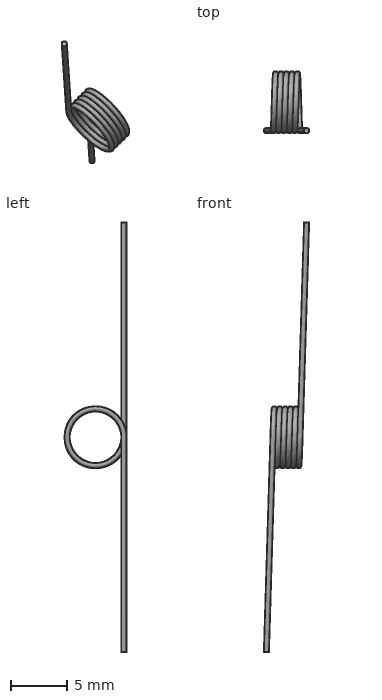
import cadquery as cq
import math

overall_width = 4.05
overall_height = 38.1

turns = 5
mean_diameter = 5.03
coil_gap = 0.005

coil_radius = mean_diameter / 2
turn_length = math.pi * mean_diameter
pitch = (overall_width + coil_gap) / (turns + overall_height / turn_length + 1)
wire_diameter = pitch - coil_gap
wire_radius = wire_diameter / 2
coil_length = turns * pitch

lead_angle = math.atan2(pitch, turn_length)
leg_length = (overall_height - wire_diameter * math.sin(lead_angle)) / 2 / math.cos(lead_angle)

wire_direction = cq.Vector(math.sin(lead_angle), 0, math.cos(lead_angle))
coil_start = cq.Vector(-coil_length / 2, -coil_radius, 0)
coil_end = cq.Vector(coil_length / 2, -coil_radius, 0)


def make_coil():
    """Sweep the round wire along the helix, starting at coil_start."""
    coil_frame = cq.Plane(origin=(-coil_length / 2, 0, 0), xDir=(0, -1, 0), normal=(1, 0, 0))
    helix = cq.Wire.makeHelix(pitch, coil_length, coil_radius, lefthand=True)
    path = helix.moved(cq.Location(coil_frame))
    section_plane = cq.Plane(origin=coil_start, xDir=(0, 1, 0), normal=wire_direction)
    return cq.Workplane(section_plane).circle(wire_radius).sweep(path, isFrenet=True)


def make_leg(start, direction):
    """Straight round leg leaving the coil tangentially."""
    return cq.Workplane(cq.Solid.makeCylinder(wire_radius, leg_length, start, direction))


lower_leg = make_leg(coil_start, -wire_direction)
upper_leg = make_leg(coil_end, wire_direction)
result = make_coil().union(lower_leg).union(upper_leg)